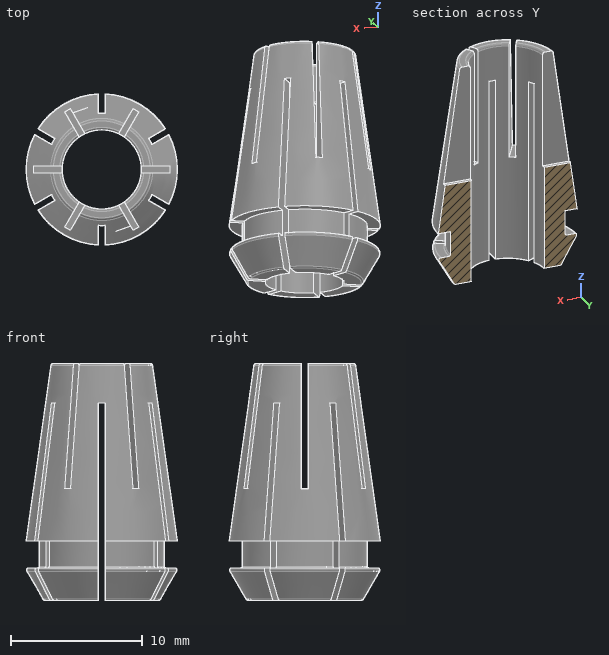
import cadquery as cq
import math

height = 18.0
bore_radius = 6.0 / 2
body_radius = 11.5 / 2
taper_angle = 8.0
neck_radius = 4.75
groove_bottom = 2.48
groove_top = 4.5

nose_angle = 30.0
nose_bottom_radius = 4.41

end_rounding = 0.2
nose_rounding = 0.2
lip_rounding = 0.18
groove_rounding = 0.1

slit_count = 6
slit_width = 0.5
lower_slit_top = 15.0
upper_slit_bottom = 8.5

top_radius = body_radius - (height - groove_top) * math.tan(math.radians(taper_angle))
lip_radius = nose_bottom_radius + groove_bottom * math.tan(math.radians(nose_angle))


def round_rim(solid, radius, z, rounding):
    """Fillet the circular edge of the given radius at height z."""
    tolerance = 0.002
    rims = [
        edge
        for edge in solid.edges("%CIRCLE").vals()
        if abs(edge.radius() - radius) < tolerance and abs(edge.Center().z - z) < tolerance
    ]
    return solid.newObject(rims).fillet(rounding)


def make_body():
    """Revolved collet with its bore, groove and rounded edges."""
    body = (
        cq.Workplane("XZ")
        .moveTo(bore_radius, 0)
        .lineTo(nose_bottom_radius, 0)
        .lineTo(lip_radius, groove_bottom)
        .lineTo(neck_radius, groove_bottom)
        .lineTo(neck_radius, groove_top)
        .lineTo(body_radius, groove_top)
        .lineTo(top_radius, height)
        .lineTo(bore_radius, height)
        .close()
        .revolve(360, (0, 0, 0), (0, 1, 0))
    )
    body = body.faces(">Z").edges().fillet(end_rounding)
    body = round_rim(body, nose_bottom_radius, 0, nose_rounding)
    body = round_rim(body, lip_radius, groove_bottom, lip_rounding)
    return round_rim(body, neck_radius, groove_bottom, groove_rounding)


def make_slits(bottom, top, first_angle):
    """Ring of radial slits that run from the bore out through the wall."""
    slit_length = 2 * body_radius
    slits = cq.Workplane("XY")
    for i in range(slit_count):
        slit = (
            cq.Workplane("XY", origin=(0, 0, bottom))
            .rect(slit_length, slit_width)
            .extrude(top - bottom)
            .translate((slit_length / 2, 0, 0))
            .rotate((0, 0, 0), (0, 0, 1), first_angle + i * 360 / slit_count)
        )
        slits = slits.add(slit)
    return slits.combine()


upper_slits = make_slits(upper_slit_bottom, height, 0)
lower_slits = make_slits(0, lower_slit_top, 180 / slit_count)

result = make_body().cut(upper_slits).cut(lower_slits)